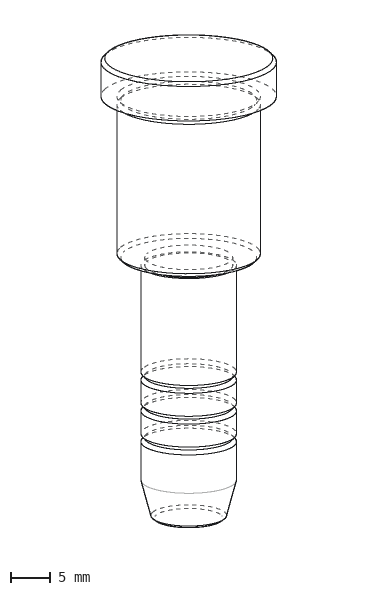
import cadquery as cq
import math

total_length = 60.0
head_radius = 11.01
head_height = 5.0
body_radius = 9.0
body_length = 21.0
shank_radius = 6.0
edge_chamfer = 0.5

relief_width = 1.0
relief_depth = 0.5

groove_width = 1.0
groove_depth = 0.5
lowest_groove_z = 10.5
groove_pitch = 4.0
shank_groove_count = 3

taper_length = 5.0
taper_angle = 15.0
tip_chamfer = 0.35

head_bottom_z = total_length - head_height
body_bottom_z = head_bottom_z - body_length
tip_radius = shank_radius - taper_length * math.tan(math.radians(taper_angle))


def cylinder(radius, bottom_z, height):
    return cq.Workplane("XY").workplane(offset=bottom_z).circle(radius).extrude(height)


def v_groove(radius, center_z):
    """Ring with a triangular section that cuts a V into a cylinder of the given radius."""
    half_width = groove_width / 2
    return (
        cq.Workplane("XZ")
        .moveTo(radius, center_z - half_width)
        .lineTo(radius - groove_depth, center_z)
        .lineTo(radius, center_z + half_width)
        .close()
        .revolve(360, (0, 0, 0), (0, 1, 0))
    )


head = cylinder(head_radius, head_bottom_z, head_height).faces(">Z").chamfer(edge_chamfer)

body = cylinder(body_radius, body_bottom_z, body_length).faces("<Z").chamfer(edge_chamfer)
body = body.cut(v_groove(body_radius, head_bottom_z - groove_width / 2))

shank_top_z = body_bottom_z - relief_width
shank = cylinder(shank_radius, taper_length, shank_top_z - taper_length)
for index in range(shank_groove_count):
    shank = shank.cut(v_groove(shank_radius, lowest_groove_z + index * groove_pitch))

relief = cylinder(shank_radius - relief_depth, shank_top_z, relief_width)

tip = (
    cq.Workplane("XZ")
    .lineTo(tip_radius, 0)
    .lineTo(shank_radius, taper_length)
    .lineTo(0, taper_length)
    .close()
    .revolve(360, (0, 0, 0), (0, 1, 0))
    .faces("<Z")
    .chamfer(tip_chamfer)
)

result = head.union(body).union(relief).union(shank).union(tip)